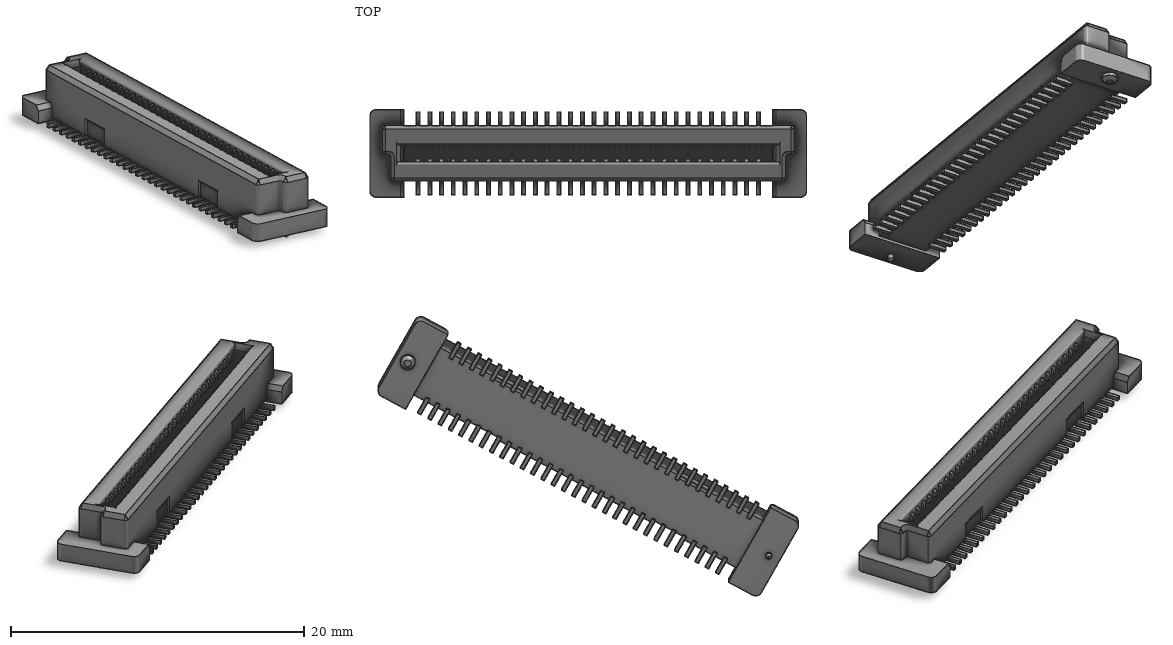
import cadquery as cq
import math


total_length = 29.8
block_width = 6.0
block_height = 1.28
block_inner_x = 12.58
block_corner_radius = 0.45
block_slope_run = 0.25
block_slope_drop = 0.35

peg_x = 14.07
peg_height = 0.45
large_peg_diameter = 1.0
large_peg_bevel_run = 0.27
large_peg_bevel_height = 0.2
small_peg_diameter = 0.42
small_peg_bevel = 0.15

housing_back_x = 14.05
housing_front_x = 13.45
housing_width = 3.78
housing_half_width = housing_width / 2
housing_step_y = -0.05
housing_bottom = 0.2
housing_top = 3.8
corner_radius = 0.2
rim_bevel_run = 0.2
rim_bevel_height = 0.35

mouth_half_length = 13.08
mouth_half_width = 0.77
side_lip_run = 0.2
side_lip_height = 0.25
end_lip_run = 0.27
end_lip_height = 0.42
slot_floor_half_length = 12.55
slot_floor = 0.6
slot_half_width = mouth_half_width - side_lip_run
slot_half_length = mouth_half_length - end_lip_run

contact_count = 30
contact_span = 23.2
contact_width = 0.27
contact_pitch = contact_span / (contact_count - 1)
contact_projection = 0.18
contact_round_height = 0.3
contact_top = housing_top - side_lip_height
contact_bottom = 3.0
tail_height = 0.27
tail_tip_y = 2.83
tail_embed = 0.3
tail_root_y = housing_half_width - tail_embed

recess_x = 7.15
recess_length = 2.4
recess_depth = 0.18
recess_top = 1.5


def along_x(points, length):
    """Prism from a (y, z) profile, centred on X = 0."""
    return cq.Workplane("YZ").polyline(points).close().extrude(length / 2, both=True)


def along_y(points, width):
    """Prism from an (x, z) profile, centred on Y = 0."""
    return cq.Workplane("XZ").polyline(points).close().extrude(width / 2, both=True)


def both_sides(shape):
    """The shape together with its mirror image across Y = 0."""
    return shape.union(shape.mirror("XZ"))


def arc_middle(run, height):
    """Middle of an arc that starts vertically and ends at (run, height) from its start."""
    radius = (run**2 + height**2) / (2 * run)
    half_angle = math.atan2(run, height)
    return radius * (1 - math.cos(half_angle)), radius * math.sin(half_angle)


def make_housing():
    """Stepped housing with rounded upright corners and a bevelled rim."""
    outline = [
        (-housing_back_x, housing_half_width),
        (-housing_back_x, housing_step_y),
        (-housing_front_x, housing_step_y),
        (-housing_front_x, -housing_half_width),
        (housing_front_x, -housing_half_width),
        (housing_front_x, housing_step_y),
        (housing_back_x, housing_step_y),
        (housing_back_x, housing_half_width),
    ]
    wall_height = housing_top - rim_bevel_height - housing_bottom
    rim_taper = math.degrees(math.atan2(rim_bevel_run, rim_bevel_height))
    walls = (
        cq.Workplane("XY")
        .workplane(offset=housing_bottom)
        .polyline(outline)
        .close()
        .extrude(wall_height)
    )
    in_step = cq.selectors.BoxSelector(
        (-housing_front_x - corner_radius, housing_step_y - corner_radius, housing_bottom),
        (housing_front_x + corner_radius, housing_step_y + corner_radius, housing_top),
    )
    body = walls.edges("|Z").edges(in_step).fillet(corner_radius)
    for corner in ("<X", ">X", "<Y"):
        body = body.edges("|Z").edges(corner).fillet(corner_radius)
    return body.faces(">Z").wires().toPending().extrude(rim_bevel_height, taper=rim_taper)


def make_end_block():
    """Block at the +X end, its inner top edge sloped."""
    profile = [
        (block_inner_x, 0),
        (total_length / 2, 0),
        (total_length / 2, block_height),
        (block_inner_x + block_slope_run, block_height),
        (block_inner_x, block_height - block_slope_drop),
    ]
    return along_y(profile, block_width).edges("|Z and >X").fillet(block_corner_radius)


def make_peg(x, diameter, bevel_run, bevel_height):
    """Round peg pointing down, coned at its tip."""
    radius = diameter / 2
    profile = [
        (0, 0),
        (radius, 0),
        (radius, bevel_height - peg_height),
        (radius - bevel_run, -peg_height),
        (0, -peg_height),
    ]
    peg = cq.Workplane("XZ").polyline(profile).close().revolve(360, (0, 0), (0, 1))
    return peg.translate((x, 0, 0))


def make_slot():
    """Mating slot: tapered ends, and long walls rounded over at the mouth."""
    side_lip_bottom = housing_top - side_lip_height
    end_lip_bottom = housing_top - end_lip_height
    end_profile = [
        (-slot_floor_half_length, slot_floor),
        (slot_floor_half_length, slot_floor),
        (slot_half_length, end_lip_bottom),
        (mouth_half_length, housing_top),
        (-mouth_half_length, housing_top),
        (-slot_half_length, end_lip_bottom),
    ]
    arc_offset, arc_rise = arc_middle(side_lip_run, side_lip_height)
    arc_y = slot_half_width + arc_offset
    arc_z = side_lip_bottom + arc_rise
    cross_section = (
        cq.Workplane("YZ")
        .moveTo(-slot_half_width, slot_floor)
        .lineTo(slot_half_width, slot_floor)
        .lineTo(slot_half_width, side_lip_bottom)
        .threePointArc((arc_y, arc_z), (mouth_half_width, housing_top))
        .lineTo(-mouth_half_width, housing_top)
        .threePointArc((-arc_y, arc_z), (-slot_half_width, side_lip_bottom))
        .close()
        .extrude(mouth_half_length, both=True)
    )
    return cross_section.intersect(along_y(end_profile, 2 * mouth_half_width))


def make_recess(x):
    """Shallow recess in the back wall, with a 45 degree ceiling."""
    wall_y = housing_half_width
    profile = [
        (wall_y, housing_bottom),
        (wall_y, recess_top),
        (wall_y - recess_depth, recess_top - recess_depth),
        (wall_y - recess_depth, housing_bottom),
    ]
    return along_x(profile, recess_length).translate((x, 0, 0))


def make_tail():
    """Solder tail reaching out under the back wall."""
    profile = [
        (tail_root_y, 0),
        (tail_tip_y, 0),
        (tail_tip_y, tail_height),
        (tail_root_y, tail_height),
    ]
    return along_x(profile, contact_width)


def make_contact():
    """Contact nose standing out of the back slot wall, rounded at its top."""
    nose_y = slot_half_width - contact_projection
    round_bottom = contact_top - contact_round_height
    arc_offset, arc_rise = arc_middle(contact_projection, contact_round_height)
    return (
        cq.Workplane("YZ")
        .moveTo(slot_half_width, contact_top)
        .threePointArc((nose_y + arc_offset, round_bottom + arc_rise), (nose_y, round_bottom))
        .lineTo(nose_y, contact_bottom)
        .lineTo(slot_half_width, contact_bottom)
        .close()
        .extrude(contact_width / 2, both=True)
    )


end_block = make_end_block()
result = make_housing().cut(make_slot())
for x in (-recess_x, recess_x):
    result = result.cut(both_sides(make_recess(x)))

result = result.union(end_block).union(end_block.mirror("YZ"))
result = result.union(make_peg(-peg_x, large_peg_diameter, large_peg_bevel_run, large_peg_bevel_height))
result = result.union(make_peg(peg_x, small_peg_diameter, small_peg_bevel, small_peg_bevel))

tail = make_tail()
contact = make_contact()
contact_row = []
for i in range(contact_count):
    x = i * contact_pitch - contact_span / 2
    contact_row += [tail.translate((x, 0, 0)).val(), contact.translate((x, 0, 0)).val()]
contacts = cq.Workplane(cq.Compound.makeCompound(contact_row))
result = result.union(contacts).union(contacts.mirror("XZ"))